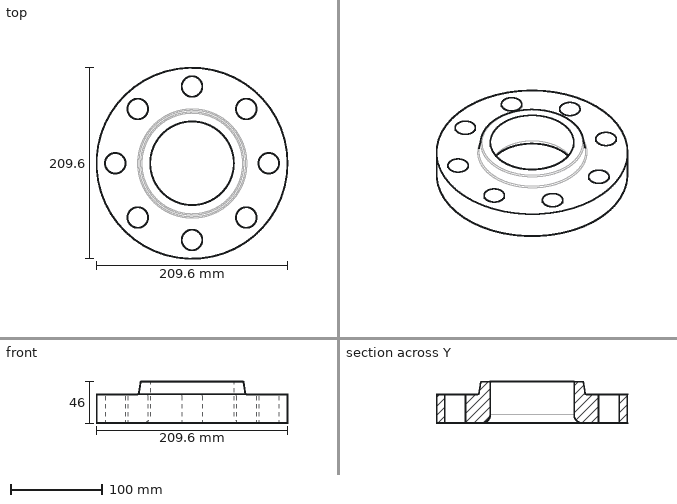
import cadquery as cq
import math

flange_diameter = 209.55
flange_thickness = 31.75
total_height = 45.97

hub_base_diameter = 117.3
hub_taper_angle = 9.0
hub_foot_radius = 1.5
hub_rim_radius = 1.5

bore_diameter = 91.44
bore_mouth_radius = 9.65

bolt_count = 8
bolt_circle_diameter = 168.15
bolt_hole_diameter = 22.35

selection_margin = 0.1

hub_height = total_height - flange_thickness
hub_top_diameter = hub_base_diameter - 2 * hub_height * math.tan(math.radians(hub_taper_angle))


def make_flange_plate():
    return cq.Workplane("XY").circle(flange_diameter / 2).extrude(flange_thickness)


def make_hub():
    """Truncated cone that narrows upwards from the top face of the plate."""
    return (
        cq.Workplane("XY", origin=(0, 0, flange_thickness))
        .circle(hub_base_diameter / 2)
        .extrude(hub_height, taper=hub_taper_angle)
    )


def circle_edge_at(diameter, height):
    """Selector for axis-centred edges at the given height, up to the given diameter."""
    reach = diameter / 2 + selection_margin
    return cq.selectors.BoxSelector(
        (-reach, -reach, height - selection_margin),
        (reach, reach, height + selection_margin),
        boundingbox=True,
    )


def round_hub(body):
    body = body.edges(circle_edge_at(hub_top_diameter, total_height)).fillet(hub_rim_radius)
    return body.edges(circle_edge_at(hub_base_diameter, flange_thickness)).fillet(hub_foot_radius)


def cut_bore(body):
    body = body.cut(cq.Workplane("XY").circle(bore_diameter / 2).extrude(total_height))
    return body.edges(circle_edge_at(bore_diameter, 0)).fillet(bore_mouth_radius)


def cut_bolt_holes(body):
    holes = (
        cq.Workplane("XY")
        .polarArray(bolt_circle_diameter / 2, 0, 360, bolt_count)
        .circle(bolt_hole_diameter / 2)
        .extrude(flange_thickness)
    )
    return body.cut(holes)


flange = make_flange_plate().union(make_hub())
flange = round_hub(flange)
flange = cut_bore(flange)
result = cut_bolt_holes(flange)